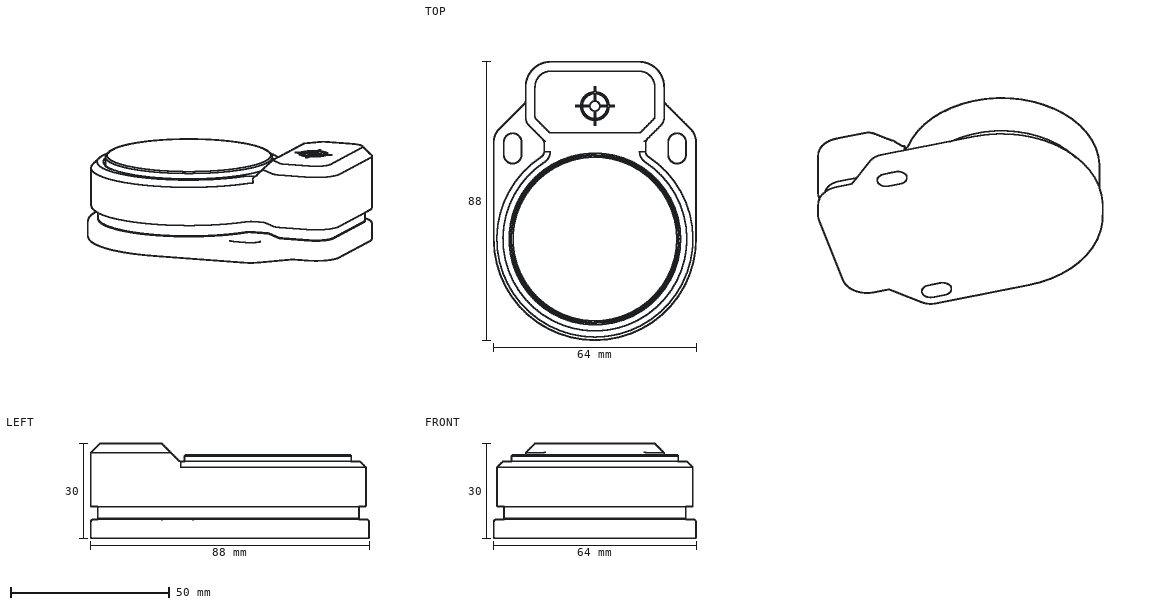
import cadquery as cq
import math

TOTAL_LENGTH = 88.0
BASE_RADIUS = 31.99
BACK_Y = TOTAL_LENGTH - BASE_RADIUS

BASE_TOP = 6.1
GASKET_THICKNESS = 0.3
GASKET_TOP = BASE_TOP + GASKET_THICKNESS
HOUSING_BOTTOM = 10.0
DRUM_TOP = 24.4
DISC_TOP = 26.5
BLOCK_TOP = 30.0

EAR_CORNER_RADIUS = 6.0
EAR_CORNER_Y = 30.5
TAB_FILLET = 1.0
BASE_TOP_FILLET = 1.0
SLOT_X = 26.0
SLOT_Y = 28.6
SLOT_WIDTH = 5.5
SLOT_LENGTH = 9.5
SLOT_FILLET = 0.5

BOTTOM_FILLET = 0.5

DRUM_RADIUS = 31.0
DRUM_CHAMFER = 1.9
BLOCK_HALF_WIDTH = 21.9
BLOCK_CORNER_RADIUS = 8.0
BLOCK_CHAMFER = 3.0
SHOULDER_Y = 37.0
SHOULDER_RADIUS = 4.0
WAIST_HALF_WIDTH = 16.0
WAIST_RADIUS = 2.0
RAMP_FOOT_Y = 27.9
RAMP_FILLET = 1.0

SPACER_INSET = 2.2
SPACER_WAIST_RADIUS = 1.0

DISC_RADIUS = 26.4
DISC_CHAMFER = 0.5
DISC_THICKNESS = 3.0
DISC_BOTTOM = DISC_TOP - DISC_THICKNESS
BORE_RADIUS = 26.6
BORE_CHAMFER = 0.5

MARK_Y = 42.0
MARK_DEPTH = 0.3
MARK_HUB_RADIUS = 1.6
MARK_RING_RADIUS = 4.5
MARK_LINE_LENGTH = 12.1
MARK_LINE_WIDTH = 0.5

DIAGONAL = math.sqrt(0.5)
BEND_TANGENT = math.tan(math.pi / 8)


def arc_middle(start, end, center):
    """Middle point of the shorter arc from start to end around center."""
    radius = math.dist(start, center)
    chord_x = (start[0] + end[0]) / 2 - center[0]
    chord_y = (start[1] + end[1]) / 2 - center[1]
    reach = radius / math.hypot(chord_x, chord_y)
    return (center[0] + chord_x * reach, center[1] + chord_y * reach)


def symmetric_prism(steps, front_radius, bottom, top):
    """Prism over an outline that is symmetric about the YZ plane.

    The steps run along the +X side from back to front: each is (end, center), with center None for
    a straight line and the first step's end as the starting point. An arc of front_radius around
    the origin joins the last point to its mirror image, and a straight line closes the back.
    """
    start = steps[0][0]
    outline = cq.Workplane("XY", origin=(0, 0, bottom)).moveTo(*start)
    legs = [(begin, end, center) for (begin, _), (end, center) in zip(steps, steps[1:])]
    for begin, end, center in legs:
        outline = add_step(outline, begin, end, center)
    front_start = steps[-1][0]
    outline = outline.threePointArc((0, -front_radius), mirrored(front_start))
    for begin, end, center in reversed(legs):
        mirrored_center = mirrored(center) if center else None
        outline = add_step(outline, mirrored(end), mirrored(begin), mirrored_center)
    return outline.close().extrude(top - bottom)


def mirrored(point):
    return (-point[0], point[1])


def add_step(path, begin, end, center):
    """Continue path to end, straight or along the shorter arc around center."""
    if center is None:
        return path.lineTo(*end)
    return path.threePointArc(arc_middle(begin, end, center), end)


def keyhole(inset, waist_radius, bottom, top):
    """Prism with the outline of drum and block moved inwards by inset."""
    drum = DRUM_RADIUS - inset
    half_width = BLOCK_HALF_WIDTH - inset
    waist = WAIST_HALF_WIDTH - inset
    back_y = BACK_Y - inset

    back_radius = BLOCK_CORNER_RADIUS - inset
    back_center = (half_width - back_radius, back_y - back_radius)
    back_start = (back_center[0], back_y)
    back_end = (half_width, back_center[1])

    shoulder_radius = SHOULDER_RADIUS - inset
    shoulder_y = SHOULDER_Y + inset * BEND_TANGENT
    shoulder_tangent = shoulder_radius * BEND_TANGENT
    shoulder_start = (half_width, shoulder_y + shoulder_tangent)
    shoulder_end = (half_width - shoulder_tangent * DIAGONAL, shoulder_y - shoulder_tangent * DIAGONAL)
    shoulder_center = (half_width - shoulder_radius, shoulder_start[1])

    waist_y = shoulder_y - (half_width - waist)
    waist_tangent = waist_radius * BEND_TANGENT
    waist_start = (waist + waist_tangent * DIAGONAL, waist_y + waist_tangent * DIAGONAL)
    waist_end = (waist, waist_y - waist_tangent)
    waist_center = (waist + waist_radius, waist_end[1])

    neck_x = waist + waist_radius
    neck_center = (neck_x, math.sqrt((drum + waist_radius) ** 2 - neck_x**2))
    neck_start = (waist, neck_center[1])
    drum_share = drum / (drum + waist_radius)
    neck_end = (neck_center[0] * drum_share, neck_center[1] * drum_share)

    steps = [
        (back_start, None),
        (back_end, back_center),
        (shoulder_start, None),
        (shoulder_end, shoulder_center),
        (waist_start, None),
        (waist_end, waist_center),
        (neck_start, None),
        (neck_end, neck_center),
    ]
    return symmetric_prism(steps, drum, bottom, top)


def make_base():
    """Round-fronted plate with two slotted ears and a tab under the block."""
    ear_start = (BASE_RADIUS, EAR_CORNER_Y)
    ear_center = (BASE_RADIUS - EAR_CORNER_RADIUS, EAR_CORNER_Y)
    ear_end = (
        ear_center[0] + EAR_CORNER_RADIUS * DIAGONAL,
        ear_center[1] + EAR_CORNER_RADIUS * DIAGONAL,
    )
    tab_y = ear_end[1] + (ear_end[0] - BLOCK_HALF_WIDTH)
    tab_center = (BLOCK_HALF_WIDTH - BLOCK_CORNER_RADIUS, BACK_Y - BLOCK_CORNER_RADIUS)
    steps = [
        ((tab_center[0], BACK_Y), None),
        ((BLOCK_HALF_WIDTH, tab_center[1]), tab_center),
        ((BLOCK_HALF_WIDTH, tab_y), None),
        (ear_end, None),
        (ear_start, ear_center),
        ((BASE_RADIUS, 0), None),
    ]
    plate = symmetric_prism(steps, BASE_RADIUS, 0, BASE_TOP)

    half_height = BASE_TOP / 2
    for x in (-BLOCK_HALF_WIDTH, BLOCK_HALF_WIDTH):
        tab_corner = cq.selectors.NearestToPointSelector((x, tab_y, half_height))
        plate = plate.edges("|Z").edges(tab_corner).fillet(TAB_FILLET)
    plate = plate.faces(">Z").edges().fillet(BASE_TOP_FILLET)
    plate = plate.faces("<Z").edges().fillet(BOTTOM_FILLET)
    for x in (-SLOT_X, SLOT_X):
        plate = cut_slot(plate, x)
    return plate


def cut_slot(plate, x):
    """Cut one mounting slot through the plate and round its upper rim."""
    slot = cq.Workplane("XY").center(x, SLOT_Y).slot2D(SLOT_LENGTH, SLOT_WIDTH, 90).extrude(BASE_TOP)
    reach_x = SLOT_WIDTH / 2 + SLOT_FILLET
    reach_y = SLOT_LENGTH / 2 + SLOT_FILLET
    rim = cq.selectors.BoxSelector(
        (x - reach_x, SLOT_Y - reach_y, 0),
        (x + reach_x, SLOT_Y + reach_y, BLOCK_TOP),
    )
    return plate.cut(slot).faces(">Z").edges(rim).fillet(SLOT_FILLET)


def make_block():
    """Chamfered block whose front slopes at 45 degrees down to the drum top."""
    block = keyhole(0, WAIST_RADIUS, HOUSING_BOTTOM, BLOCK_TOP)
    block = block.faces(">Z").edges().chamfer(BLOCK_CHAMFER)

    tangent = RAMP_FILLET * BEND_TANGENT
    foot = (RAMP_FOOT_Y - tangent, DRUM_TOP)
    ramp_start = (RAMP_FOOT_Y + tangent * DIAGONAL, DRUM_TOP + tangent * DIAGONAL)
    ramp_end = (RAMP_FOOT_Y + BLOCK_TOP - DRUM_TOP, BLOCK_TOP)
    path = cq.Workplane("YZ").moveTo(foot[0], 0).lineTo(*foot)
    path = add_step(path, foot, ramp_start, (foot[0], DRUM_TOP + RAMP_FILLET)).lineTo(*ramp_end)
    path = path.lineTo(BACK_Y, BLOCK_TOP).lineTo(BACK_Y, 0).close()
    block = block.intersect(path.extrude(BLOCK_HALF_WIDTH, both=True))
    return block.edges().filter(is_ramp_side).fillet(RAMP_FILLET)


def is_ramp_side(edge):
    """True for the edges where the ramp and its foot meet the waist at either side."""
    center = edge.Center()
    height_above_ramp = (center.z - DRUM_TOP) - (center.y - RAMP_FOOT_Y)
    on_ramp = abs(height_above_ramp) < RAMP_FILLET / 4
    at_waist = abs(abs(center.x) - WAIST_HALF_WIDTH) < WAIST_RADIUS
    below_top = center.z < BLOCK_TOP - BLOCK_CHAMFER / 4
    return on_ramp and at_waist and below_top


def make_bore():
    """Recess for the disc, with a chamfered mouth."""
    bore = cq.Workplane("XY", origin=(0, 0, DISC_BOTTOM)).circle(BORE_RADIUS).extrude(DISC_THICKNESS)
    mouth = cq.Solid.makeCone(
        BORE_RADIUS,
        BORE_RADIUS + BORE_CHAMFER,
        BORE_CHAMFER,
        pnt=cq.Vector(0, 0, DRUM_TOP - BORE_CHAMFER),
    )
    return bore.union(cq.Workplane(mouth))


def make_mark():
    """Hub, ring and crossed lines of the engraved target mark."""
    plane = cq.Workplane("XY", origin=(0, MARK_Y, BLOCK_TOP - MARK_DEPTH))
    hub = plane.circle(MARK_HUB_RADIUS).extrude(MARK_DEPTH)
    ring_inside = MARK_RING_RADIUS - MARK_LINE_WIDTH
    ring = plane.circle(MARK_RING_RADIUS).circle(ring_inside).extrude(MARK_DEPTH)
    line_x = plane.rect(MARK_LINE_LENGTH, MARK_LINE_WIDTH).extrude(MARK_DEPTH)
    line_y = plane.rect(MARK_LINE_WIDTH, MARK_LINE_LENGTH).extrude(MARK_DEPTH)
    return hub.union(ring).union(line_x).union(line_y)


def make_housing():
    drum = keyhole(0, WAIST_RADIUS, HOUSING_BOTTOM, DRUM_TOP)
    drum = drum.faces(">Z").edges().chamfer(DRUM_CHAMFER)
    housing = drum.union(make_block())
    housing = housing.faces("<Z").edges().fillet(BOTTOM_FILLET)
    return housing.cut(make_bore()).cut(make_mark())


def make_disc():
    disc = cq.Workplane("XY", origin=(0, 0, DISC_BOTTOM)).circle(DISC_RADIUS).extrude(DISC_THICKNESS)
    return disc.faces(">Z").edges().chamfer(DISC_CHAMFER)


def make_gasket():
    return keyhole(SPACER_INSET, SPACER_WAIST_RADIUS, BASE_TOP, GASKET_TOP)


def make_spacer():
    return keyhole(SPACER_INSET, SPACER_WAIST_RADIUS, GASKET_TOP, HOUSING_BOTTOM)


base = make_base()
gasket = make_gasket()
spacer = make_spacer()
housing = make_housing()
disc = make_disc()

result = cq.Compound.makeCompound(
    [base.val(), gasket.val(), spacer.val(), housing.val(), disc.val()]
)